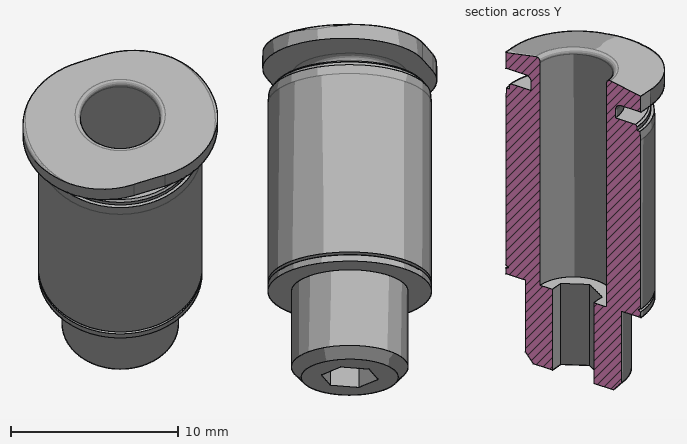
import cadquery as cq
import math

total_height = 21.0
head_bottom = 19.5
body_top = 18.58
body_step = 18.2
body_taper_end = 17.62
groove_top = 6.11
groove_bottom = 5.92
flange_bottom = 5.52

body_diameter = 9.8
taper_top_diameter = 9.7
collar_diameter = 9.3
groove_root_diameter = 9.43
neck_diameter = 6.15
stem_diameter = 7.0

collar_chamfer = 0.13
neck_fillet = 0.38
stem_chamfer_width = 0.59
stem_chamfer_height = 0.65

head_length = 11.8
head_cone_angle = 10.0
head_rim_fillet = 0.25

bore_diameter = 4.77
bore_mouth_fillet = 0.32
hex_across_flats = 3.0


def make_body():
    """Revolve the stem, flange, V-grooved body and neck."""
    stem_radius = stem_diameter / 2
    body_radius = body_diameter / 2
    groove_radius = groove_root_diameter / 2
    collar_radius = collar_diameter / 2
    neck_radius = neck_diameter / 2
    arc_inset = neck_fillet * (1 - math.sqrt(0.5))
    return (
        cq.Workplane("XZ")
        .moveTo(0, 0)
        .lineTo(stem_radius - stem_chamfer_width, 0)
        .lineTo(stem_radius, stem_chamfer_height)
        .lineTo(stem_radius, flange_bottom)
        .lineTo(body_radius, flange_bottom)
        .lineTo(body_radius, groove_bottom)
        .lineTo(groove_radius, (groove_bottom + groove_top) / 2)
        .lineTo(body_radius, groove_top)
        .lineTo(body_radius, body_taper_end)
        .lineTo(taper_top_diameter / 2, body_step)
        .lineTo(collar_radius, body_step)
        .lineTo(collar_radius, body_top - collar_chamfer)
        .lineTo(collar_radius - collar_chamfer, body_top)
        .lineTo(neck_radius, body_top)
        .lineTo(neck_radius, head_bottom - neck_fillet)
        .threePointArc(
            (neck_radius + arc_inset, head_bottom - arc_inset),
            (neck_radius + neck_fillet, head_bottom),
        )
        .lineTo(0, head_bottom)
        .close()
        .revolve(360, (0, 0, 0), (0, 1, 0))
    )


def make_head():
    """Trim a round conical cap to the oblong outline of the head."""
    rim_radius = head_length / 2
    flat_radius = bore_diameter / 2 + bore_mouth_fillet
    slope = math.radians(head_cone_angle)
    arc_center_radius = rim_radius - head_rim_fillet
    cone_radius = arc_center_radius + head_rim_fillet * math.sin(slope)
    cone_bottom = total_height - (cone_radius - flat_radius) * math.tan(slope)
    arc_center_height = cone_bottom - head_rim_fillet * math.cos(slope)
    mid_angle = (math.pi / 2 - slope) / 2
    arc_middle = (
        arc_center_radius + head_rim_fillet * math.cos(mid_angle),
        arc_center_height + head_rim_fillet * math.sin(mid_angle),
    )
    cap = (
        cq.Workplane("XZ")
        .moveTo(0, head_bottom)
        .lineTo(rim_radius, head_bottom)
        .lineTo(rim_radius, arc_center_height)
        .threePointArc(arc_middle, (cone_radius, cone_bottom))
        .lineTo(flat_radius, total_height)
        .lineTo(0, total_height)
        .close()
        .revolve(360, (0, 0, 0), (0, 1, 0))
    )
    outline = (
        cq.Workplane("XY")
        .workplane(offset=head_bottom)
        .slot2D(head_length, body_diameter, 90)
        .extrude(total_height - head_bottom)
    )
    return cap.intersect(outline)


def make_bore():
    """Make the bore volume, flared at its mouth by a rounded edge."""
    radius = bore_diameter / 2
    arc_inset = bore_mouth_fillet * (1 - math.sqrt(0.5))
    return (
        cq.Workplane("XZ")
        .moveTo(0, flange_bottom)
        .lineTo(radius, flange_bottom)
        .lineTo(radius, total_height - bore_mouth_fillet)
        .threePointArc(
            (radius + arc_inset, total_height - arc_inset),
            (radius + bore_mouth_fillet, total_height),
        )
        .lineTo(0, total_height)
        .close()
        .revolve(360, (0, 0, 0), (0, 1, 0))
    )


def make_hex_socket():
    """Make the hexagonal prism with flats facing +X and -X."""
    across_corners = hex_across_flats / math.cos(math.radians(30))
    return (
        cq.Workplane("XY")
        .transformed(rotate=(0, 0, 90))
        .polygon(6, across_corners)
        .extrude(flange_bottom)
    )


result = make_body().union(make_head()).cut(make_bore()).cut(make_hex_socket())